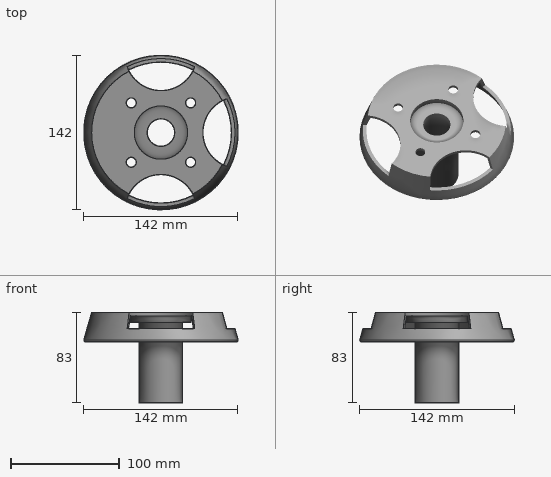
import cadquery as cq
import math

rim_radius = 71.0
side_angle = 16.4
cover_height = 27.1
total_height = 83.0
wall = 3.3
edge_radius = 1.7

recess_diameter = 49.0
flange_diameter = 55.6
flange_depth = 9.2
tube_diameter = 40.0
bore_diameter = 25.0

bolt_hole_diameter = 9.0
bolt_spacing = 54.5

scallop_radius = 32.9
scallop_center = 71.5
ledge_height = 12.0
scallop_angles = (-90, 0, 90)

tube_bottom = cover_height - total_height
plate_bottom = cover_height - wall
flange_bottom = cover_height - flange_depth

slope_angle = math.radians(side_angle)
slope = math.tan(slope_angle)
foot_radius = rim_radius + edge_radius * (slope + 1 / math.cos(slope_angle) - 1)
wall_across = wall / math.cos(slope_angle)


def cylinder(diameter, bottom, top):
    """Vertical cylinder on the central axis."""
    return cq.Workplane("XY").workplane(offset=bottom).circle(diameter / 2).extrude(top - bottom)


def cone(bottom_radius, height):
    """Solid with the common side slope, standing on Z = 0."""
    return (
        cq.Workplane("XZ")
        .polyline([(0, 0), (bottom_radius, 0), (bottom_radius - height * slope, height), (0, height)])
        .close()
        .revolve(360, (0, 0, 0), (0, 1, 0))
    )


def cover():
    """Hollow cone with a closed top and a rounded lower edge."""
    outside = cone(foot_radius, cover_height).faces("<Z").edges().fillet(edge_radius)
    return outside.cut(cone(foot_radius - wall_across, plate_bottom))


def scallop(angle):
    """Cutter for one opening, stopping at the ledge."""
    return (
        cq.Workplane("XY")
        .workplane(offset=ledge_height)
        .center(scallop_center, 0)
        .circle(scallop_radius)
        .extrude(cover_height - ledge_height)
        .rotate((0, 0, 0), (0, 0, 1), angle)
    )


result = cover()
for angle in scallop_angles:
    result = result.cut(scallop(angle))

result = result.union(cylinder(flange_diameter, flange_bottom, cover_height))
result = result.union(cylinder(tube_diameter, tube_bottom, flange_bottom))
result = result.cut(cylinder(recess_diameter, flange_bottom + wall, cover_height))
result = result.cut(cylinder(bore_diameter, tube_bottom, cover_height))

bolt_holes = (
    cq.Workplane("XY")
    .workplane(offset=plate_bottom)
    .rect(bolt_spacing, bolt_spacing, forConstruction=True)
    .vertices()
    .circle(bolt_hole_diameter / 2)
    .extrude(wall)
)
result = result.cut(bolt_holes)